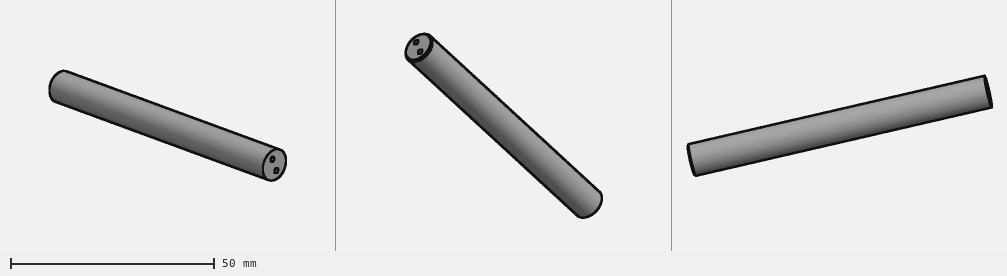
import cadquery as cq
import math

length = 75.0
diameter = 8.0

bevel_axial = 0.4
bevel_radial = 0.4

hole_diameter = 1.3
hole_circle_diameter = 3.6
hole_tilt = 18.0
hole_twist = 220.0

end_x = -length / 2
radius = diameter / 2


def make_rod():
    """Revolve the half profile, bevelled at the -X end, about the X axis."""
    profile = (
        cq.Workplane("XY")
        .moveTo(end_x, 0)
        .lineTo(end_x, radius - bevel_radial)
        .lineTo(end_x + bevel_axial, radius)
        .lineTo(-end_x, radius)
        .lineTo(-end_x, 0)
        .close()
    )
    return profile.revolve(360, (0, 0, 0), (1, 0, 0))


def make_holes():
    """Two opposite holes winding about the X axis."""
    tilt = math.radians(hole_tilt)
    offset_y = hole_circle_diameter / 2 * math.sin(tilt)
    offset_z = hole_circle_diameter / 2 * math.cos(tilt)
    centres = [(offset_y, offset_z), (-offset_y, -offset_z)]
    return (
        cq.Workplane("YZ", origin=(end_x, 0, 0))
        .pushPoints(centres)
        .circle(hole_diameter / 2)
        .twistExtrude(length, hole_twist)
    )


result = make_rod().cut(make_holes())